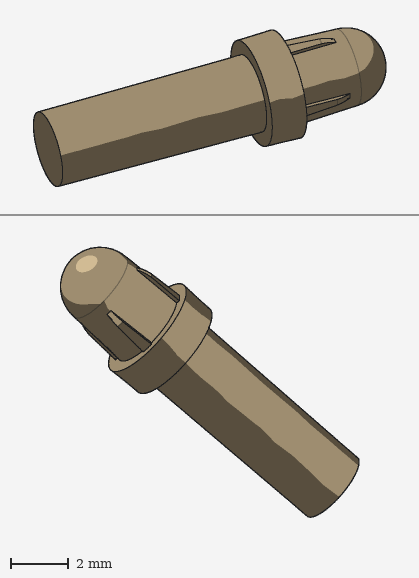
import cadquery as cq

total_length = 12.55
shank_length = 7.62
flange_thickness = 1.28

shank_tip_radius = 1.34
shank_root_radius = 1.39
flange_front_radius = 1.91
flange_back_radius = 1.95
head_root_radius = 1.48
dome_radius = 1.38

rib_count = 4
rib_length = 1.86
rib_root_width = 0.41
rib_tip_width = 0.2
rib_root_radius = 1.61
rib_shoulder_radius = 1.55
rib_tip_radius = 1.39
rib_lead_in_length = 0.55
rib_lead_in_bulge = 0.03

y_shank_end = -total_length / 2
y_flange_front = y_shank_end + shank_length
y_flange_back = y_flange_front + flange_thickness
y_dome_tip = total_length / 2
y_dome_base = y_dome_tip - dome_radius
y_rib_tip = y_flange_back + rib_length
y_rib_shoulder = y_rib_tip - rib_lead_in_length


def revolve_about_y(profile):
    return profile.close().revolve(360, (0, 0, 0), (0, 1, 0))


def make_body():
    """Shank, flange and domed head as one turned shape."""
    diagonal = dome_radius / 2**0.5
    profile = (
        cq.Workplane("XY")
        .moveTo(0, y_shank_end)
        .lineTo(shank_tip_radius, y_shank_end)
        .lineTo(shank_root_radius, y_flange_front)
        .lineTo(flange_front_radius, y_flange_front)
        .lineTo(flange_back_radius, y_flange_back)
        .lineTo(head_root_radius, y_flange_back)
        .lineTo(dome_radius, y_dome_base)
        .threePointArc((diagonal, y_dome_base + diagonal), (0, y_dome_tip))
    )
    return revolve_about_y(profile)


def make_rib():
    """Rib on the +Z side: a wedge cut from a cone with a curved lead-in."""
    crown_profile = (
        cq.Workplane("XY")
        .moveTo(0, y_flange_back)
        .lineTo(rib_root_radius, y_flange_back)
        .lineTo(rib_shoulder_radius, y_rib_shoulder)
        .sagittaArc((rib_tip_radius, y_rib_tip), -rib_lead_in_bulge)
        .lineTo(0, y_rib_tip)
    )
    wedge = (
        cq.Workplane("XY")
        .moveTo(-rib_root_width / 2, y_flange_back)
        .lineTo(rib_root_width / 2, y_flange_back)
        .lineTo(rib_tip_width / 2, y_rib_tip)
        .lineTo(-rib_tip_width / 2, y_rib_tip)
        .close()
        .extrude(flange_back_radius)
    )
    return revolve_about_y(crown_profile).intersect(wedge)


result = make_body()
rib = make_rib()
for index in range(rib_count):
    angle = index * 360 / rib_count
    result = result.union(rib.rotate((0, 0, 0), (0, 1, 0), angle))